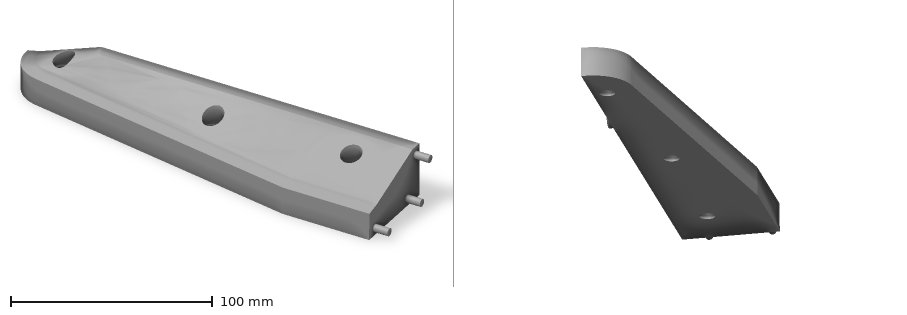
import cadquery as cq
import math

OVERALL_LENGTH = 233.0
PIN_LENGTH = 8.5
BODY_LENGTH = OVERALL_LENGTH - PIN_LENGTH
BODY_WIDTH = 49.6
FRONT_LEAN = 0.2
WALL_HEIGHT = 15.1
RIM_HEIGHT = 16.8
BODY_HEIGHT = 30.0

BACK_STRAIGHT = 1.5
NOSE_RADIUS = 20.5
TAPER_ANGLE = 10.0
SIDE_BEND_X = 175.0

RIM_WIDTH = 7.2
RIM_END_WIDTH = 7.7
RIM_BEND_X = 175.2

RIDGE_START = 42.5
RIDGE_WIDTH = 6.8
RIDGE_CORNER_RADIUS = RIDGE_WIDTH - BACK_STRAIGHT
RIDGE_BEND_X = 182.7

HOLE_CENTRES = [(25.2, -7.5), (117.5, -19.0), (196.7, -19.0)]
HOLE_DIAMETER = 8.0
COUNTERBORE_DIAMETER = 11.2
COUNTERBORE_FLOOR = 15.1

PIN_CENTRES = [(-3.7, 25.5), (-11.9, 4.2), (-44.0, 4.2)]
PIN_DIAMETER = 4.2
PEG_X = 97.5
PEG_Z = 15.1
PEG_DIAMETER = 8.5
PEG_LENGTH = 8.5


def outline(z, start_x, radius, turn, bend_x, front_y):
    """Closed plan wire: back corner, nose arc through `turn` degrees, side, bend, end."""
    center_x = start_x + radius
    center_y = -BACK_STRAIGHT

    def on_arc(degrees):
        angle = math.radians(degrees)
        return (center_x - radius * math.cos(angle), center_y - radius * math.sin(angle))

    sketch = (
        cq.Workplane("XY", origin=(0, 0, z))
        .moveTo(start_x, 0)
        .lineTo(start_x, -BACK_STRAIGHT)
        .threePointArc(on_arc(turn / 2), on_arc(turn))
        .lineTo(bend_x, front_y)
        .lineTo(BODY_LENGTH, front_y)
        .lineTo(BODY_LENGTH, 0)
        .close()
    )
    return sketch.val()


def wall_outline(z, width):
    """Outer outline of the wall for the given body width."""
    return outline(z, 0, NOSE_RADIUS, 90 - TAPER_ANGLE, SIDE_BEND_X, -width)


def ruled_solid(lower, upper):
    return cq.Workplane(cq.Solid.makeLoft([lower, upper], True))


def build_body():
    """Slightly leaning wall, gently sloped rim, then a ruled top rising to the ridge."""
    rim_outline = outline(
        RIM_HEIGHT,
        RIM_WIDTH,
        NOSE_RADIUS - RIM_WIDTH,
        90 - TAPER_ANGLE,
        RIM_BEND_X,
        RIM_END_WIDTH - BODY_WIDTH,
    )
    ridge_outline = outline(
        BODY_HEIGHT, RIDGE_START, RIDGE_CORNER_RADIUS, 90, RIDGE_BEND_X, -RIDGE_WIDTH
    )
    wall_foot = wall_outline(0, BODY_WIDTH)
    wall_top = wall_outline(WALL_HEIGHT, BODY_WIDTH - FRONT_LEAN)
    wall = ruled_solid(wall_foot, wall_top)
    rim = ruled_solid(wall_top, rim_outline)
    top = ruled_solid(rim_outline, ridge_outline)
    return wall.union(rim).union(top)


def build_hole_cutters():
    through = (
        cq.Workplane("XY").pushPoints(HOLE_CENTRES).circle(HOLE_DIAMETER / 2).extrude(BODY_HEIGHT)
    )
    counterbores = (
        cq.Workplane("XY", origin=(0, 0, COUNTERBORE_FLOOR))
        .pushPoints(HOLE_CENTRES)
        .circle(COUNTERBORE_DIAMETER / 2)
        .extrude(BODY_HEIGHT - COUNTERBORE_FLOOR)
    )
    return through.union(counterbores)


def build_pins():
    return (
        cq.Workplane("YZ", origin=(BODY_LENGTH, 0, 0))
        .pushPoints(PIN_CENTRES)
        .circle(PIN_DIAMETER / 2)
        .extrude(PIN_LENGTH)
    )


def build_peg():
    return (
        cq.Workplane("XZ")
        .center(PEG_X, PEG_Z)
        .circle(PEG_DIAMETER / 2)
        .extrude(-PEG_LENGTH)
    )


result = build_body().cut(build_hole_cutters()).union(build_pins()).union(build_peg())